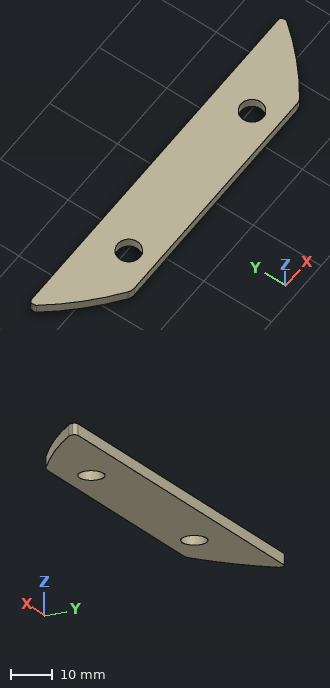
import cadquery as cq
import math

length = 102.0
width = 18.0
thickness = 3.0

end_flat_height = 1.8
front_edge_length = 68.0
arc_radius = 80.0

end_corner_radius = 1.0
front_corner_radius = 3.0

hole_diameter = 6.5
hole_spacing = 50.0
hole_from_front = 7.5

half_length = length / 2
half_front = front_edge_length / 2
shoulder_y = width - end_flat_height


def arc_midpoint(side):
    """Point halfway along the end arc; side is -1 for -X and +1 for +X."""
    run = half_length - half_front
    chord = math.hypot(run, shoulder_y)
    bulge = arc_radius - math.sqrt(arc_radius**2 - (chord / 2) ** 2)
    x = (half_length + half_front) / 2 + bulge * shoulder_y / chord
    y = shoulder_y / 2 - bulge * run / chord
    return (side * x, y)


def make_plate():
    """Plate with its front edge on Y = 0 and its underside on Z = 0."""
    plate = (
        cq.Workplane("XY")
        .moveTo(-half_front, 0)
        .lineTo(half_front, 0)
        .threePointArc(arc_midpoint(1), (half_length, shoulder_y))
        .lineTo(half_length, width)
        .lineTo(-half_length, width)
        .lineTo(-half_length, shoulder_y)
        .threePointArc(arc_midpoint(-1), (-half_front, 0))
        .close()
        .extrude(thickness)
    )
    plate = plate.edges("|Z").edges("<Y").fillet(front_corner_radius)
    for end in ("<X", ">X"):
        plate = plate.faces(end).edges("|Z").fillet(end_corner_radius)
    return plate


def drill_holes(plate):
    """Two plain through holes, symmetric about X = 0."""
    centers = [(side * hole_spacing / 2, hole_from_front) for side in (-1, 1)]
    cutters = cq.Workplane("XY").pushPoints(centers).circle(hole_diameter / 2).extrude(thickness)
    return plate.cut(cutters)


result = drill_holes(make_plate())